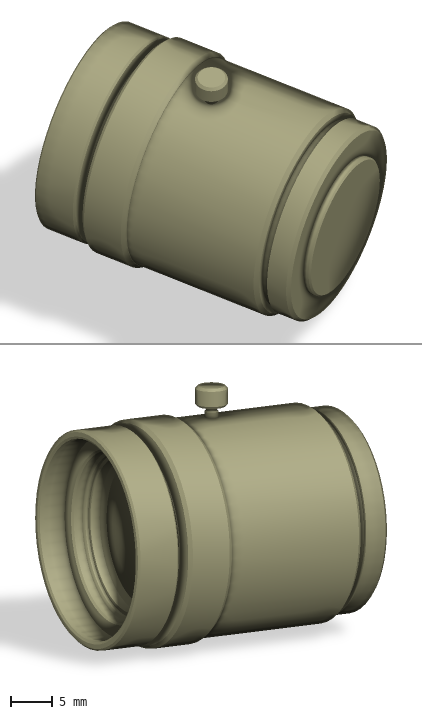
import cadquery as cq

ring_r = 27.0 / 2
ring_end = 5.6
ring_chamfer = 0.25
front_neck_r = 22.3 / 2

boss_r = 23.0 / 2
boss_start = 6.6
collar_r = 28.0 / 2
collar_start = 6.73
collar_end = 12.78
collar_chamfer = 0.43
collar_rear_chamfer_length = 0.57

barrel_r = ring_r
barrel_end = 30.72
barrel_chamfer = 0.5
rear_neck_r = 24.3 / 2
mount_r = 25.4 / 2
mount_start = 31.65
mount_end = 34.7
mount_chamfer = 0.43
tail_r = 18.0 / 2
total_length = 35.6
tail_chamfer = 0.2

mouth_r = 25.4 / 2
mouth_chamfer_depth = 0.18
bore_r = 24.8 / 2
bore_depth = 3.6
seat_mouth_r = 21.5 / 2
seat_r = 21.0 / 2
seat_depth = 5.0
retainer_r = 20.3 / 2
retainer_start = seat_depth + 0.25
retainer_depth = 5.65
throat_r = 19.3 / 2
throat_depth = 6.95
lens_r = 18.0 / 2
lens_edge = 7.55
lens_bulge = 1.35

screw_x = 17.15
overall_height = 31.4
screw_top = overall_height - collar_r
head_r = 4.0 / 2
head_bottom = 14.85
head_chamfer = 0.32
screw_neck_r = 1.3 / 2
pin_r = 1.7 / 2
pin_top = 14.35
pin_chamfer = 0.15
pin_embed = 1.42


def make_barrel():
    """Revolve the outside and the stepped front opening as one section; the lens closes the bore."""
    seat_chamfer = seat_mouth_r - seat_r
    return (
        cq.Workplane("XY")
        .moveTo(0, mouth_r)
        .lineTo(0, ring_r - ring_chamfer)
        .lineTo(ring_chamfer, ring_r)
        .lineTo(ring_end - ring_chamfer, ring_r)
        .lineTo(ring_end, ring_r - ring_chamfer)
        .lineTo(ring_end, front_neck_r)
        .lineTo(boss_start, front_neck_r)
        .lineTo(boss_start, boss_r)
        .lineTo(collar_start, boss_r)
        .lineTo(collar_start, collar_r - collar_chamfer)
        .lineTo(collar_start + collar_chamfer, collar_r)
        .lineTo(collar_end - collar_rear_chamfer_length, collar_r)
        .lineTo(collar_end, collar_r - collar_chamfer)
        .lineTo(collar_end, barrel_r)
        .lineTo(barrel_end - barrel_chamfer, barrel_r)
        .lineTo(barrel_end, barrel_r - barrel_chamfer)
        .lineTo(barrel_end, rear_neck_r)
        .lineTo(mount_start, rear_neck_r)
        .lineTo(mount_start, mount_r)
        .lineTo(mount_end - mount_chamfer, mount_r)
        .lineTo(mount_end, mount_r - mount_chamfer)
        .lineTo(mount_end, tail_r)
        .lineTo(total_length - tail_chamfer, tail_r)
        .lineTo(total_length, tail_r - tail_chamfer)
        .lineTo(total_length, 0)
        .lineTo(lens_edge - lens_bulge, 0)
        .radiusArc((lens_edge, lens_r), lens_sphere_radius())
        .lineTo(throat_depth, throat_r)
        .lineTo(retainer_depth, throat_r)
        .lineTo(retainer_depth, retainer_r)
        .lineTo(retainer_start, retainer_r)
        .lineTo(seat_depth, seat_r)
        .lineTo(bore_depth + seat_chamfer, seat_r)
        .lineTo(bore_depth, seat_mouth_r)
        .lineTo(bore_depth, bore_r)
        .lineTo(mouth_chamfer_depth, bore_r)
        .close()
        .revolve(360, (0, 0, 0), (1, 0, 0))
    )


def lens_sphere_radius():
    """Radius of the sphere through the lens edge and its apex."""
    return (lens_r**2 + lens_bulge**2) / (2 * lens_bulge)


def upright_cylinder(radius, bottom, top):
    return (
        cq.Workplane("XY", origin=(screw_x, 0, bottom))
        .circle(radius)
        .extrude(top - bottom)
    )


def make_thumbscrew():
    head = upright_cylinder(head_r, head_bottom, screw_top).faces("|Z").chamfer(head_chamfer)
    neck = upright_cylinder(screw_neck_r, pin_top, head_bottom)
    pin = upright_cylinder(pin_r, barrel_r - pin_embed, pin_top).faces(">Z").chamfer(pin_chamfer)
    return head.union(neck).union(pin)


result = make_barrel().union(make_thumbscrew())